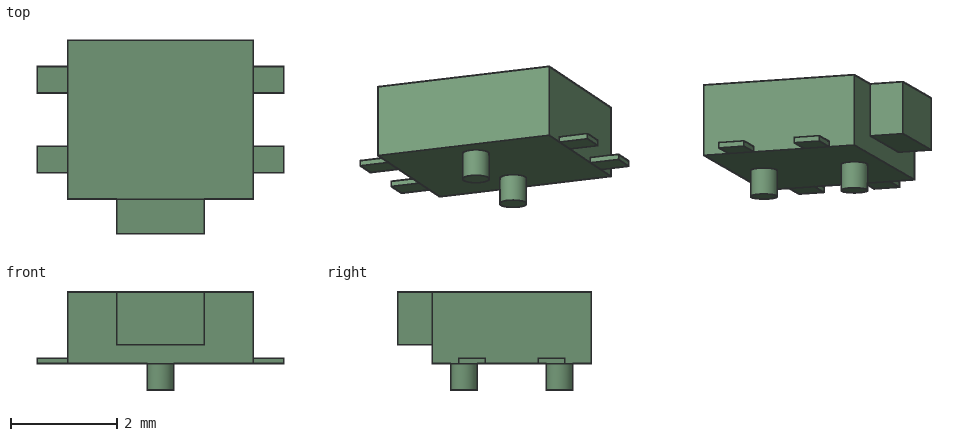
import cadquery as cq

HOUSING_WIDTH = 3.5
HOUSING_DEPTH = 3.0
HOUSING_HEIGHT = 1.355

BUTTON_WIDTH = 1.65
BUTTON_PROJECTION = 0.65
BUTTON_HEIGHT = 1.0

OVERALL_WIDTH = 4.65
LEAD_LENGTH = (OVERALL_WIDTH - HOUSING_WIDTH) / 2
LEAD_WIDTH = 0.5
LEAD_THICKNESS = 0.1
LEAD_PITCH = 1.5

PEG_DIAMETER = 0.5
PEG_LENGTH = 0.498
PEG_PITCH = 1.8


def make_housing():
    return cq.Workplane("XY").box(
        HOUSING_WIDTH, HOUSING_DEPTH, HOUSING_HEIGHT, centered=(True, True, False)
    )


def make_button():
    center_y = -(HOUSING_DEPTH + BUTTON_PROJECTION) / 2
    bottom_z = HOUSING_HEIGHT - BUTTON_HEIGHT
    return (
        cq.Workplane("XY")
        .box(BUTTON_WIDTH, BUTTON_PROJECTION, BUTTON_HEIGHT, centered=(True, True, False))
        .translate((0, center_y, bottom_z))
    )


def make_lead(side_x, side_y):
    """One terminal; each side is -1 or +1 along its axis."""
    center_x = side_x * (HOUSING_WIDTH + LEAD_LENGTH) / 2
    center_y = side_y * LEAD_PITCH / 2
    return (
        cq.Workplane("XY")
        .box(LEAD_LENGTH, LEAD_WIDTH, LEAD_THICKNESS, centered=(True, True, False))
        .translate((center_x, center_y, 0))
    )


def make_peg(side_y):
    """One peg hanging from the underside; side_y is -1 or +1."""
    return (
        cq.Workplane("XY")
        .center(0, side_y * PEG_PITCH / 2)
        .circle(PEG_DIAMETER / 2)
        .extrude(-PEG_LENGTH)
    )


SIDES = (-1, 1)
housing = make_housing()
button = make_button()
leads = [make_lead(side_x, side_y) for side_x in SIDES for side_y in SIDES]
pegs = [make_peg(side_y) for side_y in SIDES]

result = cq.Compound.makeCompound(
    [
        housing.val(),
        button.val(),
        *[lead.val() for lead in leads],
        *[peg.val() for peg in pegs],
    ]
)